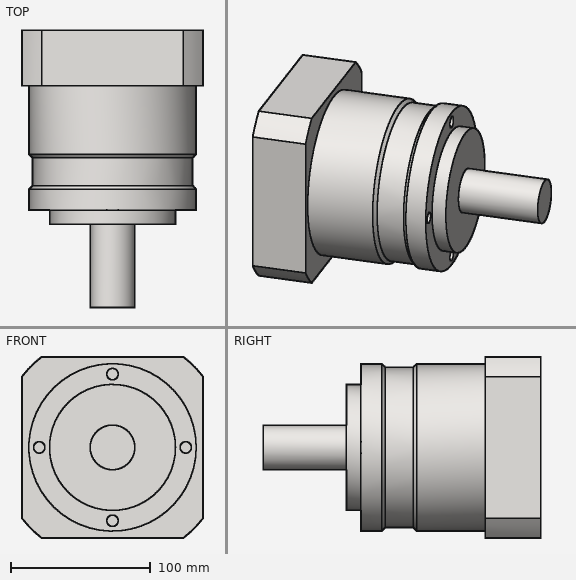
import cadquery as cq

total_length = 199.0
flange_side = 130.0
flange_corner_diameter = 165.0
flange_thickness = 40.0
body_diameter = 120.0
neck_diameter = 115.0
neck_bevel_length = 2.5
body_length = 49.0
neck_length = 19.9
front_rim_length = 15.0
pilot_diameter = 90.3
pilot_length = 10.3
shaft_diameter = 32.0
bolt_circle_diameter = 105.0
bolt_hole_diameter = 8.2
bolt_hole_depth = 15.0
bolt_count = 4

body_end = flange_thickness + body_length
neck_start = body_end + neck_bevel_length
neck_end = neck_start + neck_length
rim_start = neck_end + neck_bevel_length
rim_end = rim_start + front_rim_length
pilot_end = rim_end + pilot_length


def make_flange():
    """Square motor flange with its corners turned to a common cylinder."""
    square = cq.Workplane("XZ").rect(flange_side, flange_side).extrude(flange_thickness)
    corner_cylinder = cq.Workplane("XZ").circle(flange_corner_diameter / 2).extrude(flange_thickness)
    return square.intersect(corner_cylinder)


def make_turned_body():
    """Housing, bevelled neck, front rim, pilot and output shaft as one revolved profile."""
    body_radius = body_diameter / 2
    neck_radius = neck_diameter / 2
    pilot_radius = pilot_diameter / 2
    shaft_radius = shaft_diameter / 2
    profile = [
        (0, 0),
        (body_radius, 0),
        (body_radius, -body_end),
        (neck_radius, -neck_start),
        (neck_radius, -neck_end),
        (body_radius, -rim_start),
        (body_radius, -rim_end),
        (pilot_radius, -rim_end),
        (pilot_radius, -pilot_end),
        (shaft_radius, -pilot_end),
        (shaft_radius, -total_length),
        (0, -total_length),
    ]
    return cq.Workplane("XY").polyline(profile).close().revolve(360, (0, 0, 0), (0, 1, 0))


def make_bolt_holes():
    """Blind holes bored rearward from the front rim face."""
    return (
        cq.Workplane("XZ", origin=(0, -rim_end, 0))
        .polarArray(bolt_circle_diameter / 2, 0, 360, bolt_count)
        .circle(bolt_hole_diameter / 2)
        .extrude(-bolt_hole_depth)
    )


gearbox = make_flange().union(make_turned_body()).cut(make_bolt_holes())

result = gearbox.translate((0, total_length / 2, 0))